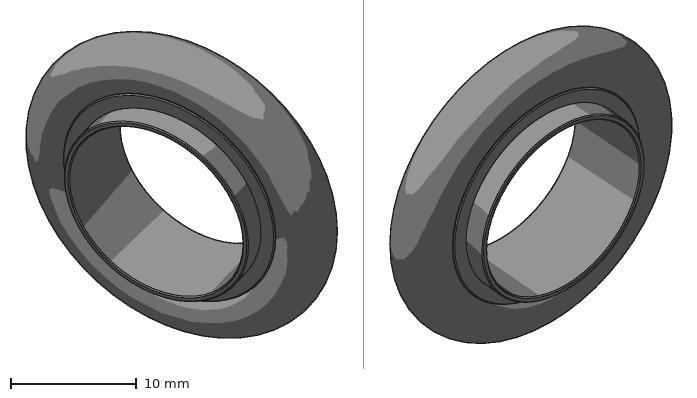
import cadquery as cq

outer_radius = 14.0
ring_section_radius = 2.5
ring_center_radius = outer_radius - ring_section_radius

sleeve_length = 8.0
bore_radius = 8.0
sleeve_radius = 8.5
edge_chamfer = 0.1

flange_radius = 9.8
flange_width = 3.98


def make_cylinder(radius, length):
    """Cylinder along Y, centred on the origin."""
    return cq.Workplane("XZ", origin=(0, length / 2, 0)).circle(radius).extrude(length)


def make_ring():
    """Round-section ring around the Y axis."""
    section = cq.Workplane("XY").center(ring_center_radius, 0).circle(ring_section_radius)
    return section.revolve(360, (-ring_center_radius, 0), (-ring_center_radius, 1))


def make_bushing(ring):
    """Flanged sleeve whose rim has a groove that seats the ring."""
    sleeve = make_cylinder(sleeve_radius, sleeve_length)
    sleeve = sleeve.cut(make_cylinder(bore_radius, sleeve_length))
    sleeve = sleeve.faces("<Y or >Y").chamfer(edge_chamfer)
    flange = make_cylinder(flange_radius, flange_width).faces("<Y or >Y").chamfer(edge_chamfer)
    flange = flange.cut(make_cylinder(sleeve_radius, flange_width))
    return sleeve.union(flange).cut(ring)


ring = make_ring()
bushing = make_bushing(ring)

result = cq.Compound.makeCompound([ring.val(), *bushing.vals()])